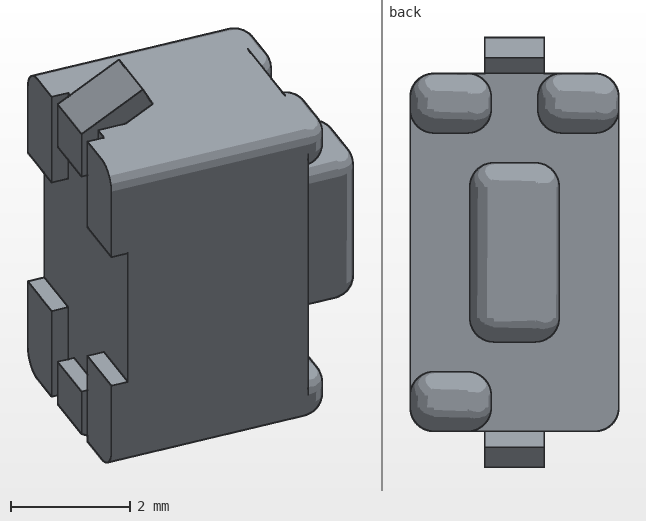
import cadquery as cq

BODY_WIDTH = 3.5
BODY_DEPTH = 3.6
BODY_HEIGHT = 6.0
EDGE_RADIUS = 0.4
END_RADIUS = 0.395

FOOT_WIDTH = 1.0
FOOT_HEIGHT = 1.71
RECESS_DEPTH = 0.3

BUTTON_WIDTH = 1.5
BUTTON_HEIGHT = 3.0
BUTTON_LENGTH = 1.4
BUMP_WIDTH = 1.36
BUMP_HEIGHT = 1.0
BUMP_LENGTH = 0.395

TOTAL_HEIGHT = 7.2
TERMINAL_WIDTH = 1.0
PAD_HEIGHT = 0.85
LEG_SETBACK = 1.12
TIP_STEP_Y = 0.18


def rounded_block(width, length, height, center_x, center_z):
    """Block on the back face with rounded sides and a rounded free end."""
    root = RECESS_DEPTH
    return (
        cq.Workplane("XY")
        .box(width, length + root, height, centered=(True, False, True))
        .edges("|Y").fillet(EDGE_RADIUS)
        .faces(">Y").edges().fillet(END_RADIUS)
        .translate((center_x, BODY_DEPTH - root, center_z))
    )


def make_housing():
    housing = (
        cq.Workplane("XY")
        .box(BODY_WIDTH, BODY_DEPTH, BODY_HEIGHT, centered=(True, False, True))
        .edges("|Y").fillet(EDGE_RADIUS)
    )
    for width, height in (
        (BODY_WIDTH - 2 * FOOT_WIDTH, BODY_HEIGHT),
        (BODY_WIDTH, BODY_HEIGHT - 2 * FOOT_HEIGHT),
    ):
        channel = cq.Workplane("XY").box(width, RECESS_DEPTH, height, centered=(True, False, True))
        housing = housing.cut(channel)
    return housing


def make_top_terminal():
    """Pad in the recess with a leg bent back and outwards over the top face."""
    body_top = BODY_HEIGHT / 2
    tip_top = TOTAL_HEIGHT / 2
    leg_rise = tip_top - body_top
    tip_step_z = TIP_STEP_Y * LEG_SETBACK / leg_rise
    inner_tip_y = LEG_SETBACK + TIP_STEP_Y
    inner_tip_z = tip_top - tip_step_z
    leg_slope = leg_rise / LEG_SETBACK
    inner_root_z = inner_tip_z - (inner_tip_y - RECESS_DEPTH) * leg_slope
    pad_bottom = body_top - PAD_HEIGHT
    return (
        cq.Workplane("YZ")
        .polyline([
            (0, pad_bottom),
            (0, body_top),
            (LEG_SETBACK, tip_top),
            (inner_tip_y, inner_tip_z),
            (RECESS_DEPTH, inner_root_z),
            (RECESS_DEPTH, pad_bottom),
        ])
        .close()
        .extrude(TERMINAL_WIDTH / 2, both=True)
    )


result = make_housing()

result = result.union(rounded_block(BUTTON_WIDTH, BUTTON_LENGTH, BUTTON_HEIGHT, 0, 0))

bump_x = (BODY_WIDTH - BUMP_WIDTH) / 2
bump_z = (BODY_HEIGHT - BUMP_HEIGHT) / 2
for side_x, side_z in ((-1, 1), (1, 1), (1, -1)):
    bump = rounded_block(BUMP_WIDTH, BUMP_LENGTH, BUMP_HEIGHT, side_x * bump_x, side_z * bump_z)
    result = result.union(bump)

top_terminal = make_top_terminal()
result = result.union(top_terminal).union(top_terminal.mirror("XY"))